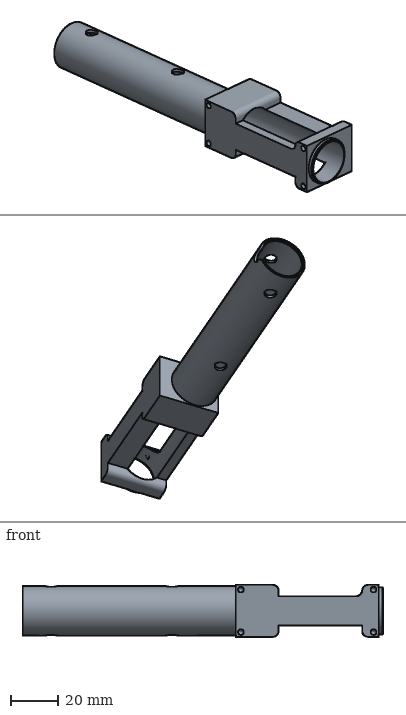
import cadquery as cq

total_length = 152.0
tube_diameter = 21.0
bore_diameter = 18.4
mouth_chamfer = 0.5
axis_y = -2.5

housing_width = 27.0
housing_height = 22.0
housing_start = 89.8
housing_end = 150.0
window_start = 107.9
window_end = 143.0
rail_height = 12.5
corner_radius = 2.6

collar_diameter = 20.0
collar_chamfer = 0.5

pin_hole_diameter = 5.2
pin_hole_positions = (12.0, 63.0)
screw_hole_diameter = 2.5
screw_hole_depth = 6.1
screw_hole_inset = 2.1
screw_hole_z = 9.0

notch_depth = 5.6
notch_width = 5.8
notch_flare_radius = 2.6


def x_cylinder(diameter, start, end):
    """Cylinder on the tube axis between two X positions."""
    return (
        cq.Workplane("YZ", origin=(start, axis_y, 0))
        .circle(diameter / 2)
        .extrude(end - start)
    )


def window_cut(side):
    """Clearance above (side = 1) or below (side = -1) the rails."""
    depth = housing_height / 2 - rail_height / 2
    return cq.Workplane("XY").box(
        window_end - window_start, housing_width, depth, centered=(False, True, True)
    ).translate((window_start, 0, side * (rail_height + depth) / 2))


def make_housing():
    """Housing with two rails, rounded shoulders and one filleted rail end."""
    body = (
        cq.Workplane("XY")
        .box(housing_end - housing_start, housing_width, housing_height, centered=(False, True, True))
        .translate((housing_start, 0, 0))
    )
    for side in (1, -1):
        body = body.cut(window_cut(side))
        for x in (window_start, window_end):
            shoulder = cq.selectors.NearestToPointSelector((x, 0, side * housing_height / 2))
            body = body.edges("|Y").edges(shoulder).fillet(corner_radius)
    return body.union(make_rail_fillet())


def make_rail_fillet():
    """Concave fillet on top of the -Y rail where it meets the far shoulder."""
    rail_top = rail_height / 2
    start = window_end - corner_radius
    fillet_width = housing_width / 2 + axis_y
    bend = corner_radius * 0.5**0.5
    return (
        cq.Workplane("XZ", origin=(0, axis_y, 0))
        .moveTo(start, rail_top)
        .threePointArc(
            (start + bend, rail_top + corner_radius - bend),
            (window_end, rail_top + corner_radius),
        )
        .lineTo(window_end, rail_top)
        .close()
        .extrude(fillet_width)
    )


def make_pin_holes():
    """Holes through both walls of the tube along Z."""
    return (
        cq.Workplane("XY")
        .pushPoints([(x, axis_y) for x in pin_hole_positions])
        .circle(pin_hole_diameter / 2)
        .extrude(tube_diameter, both=True)
    )


def make_screw_holes():
    """Blind holes with 90 degree drill points in the four corners of the -Y face."""
    radius = screw_hole_diameter / 2
    face_y = -housing_width / 2
    columns = (housing_start + screw_hole_inset, housing_end - screw_hole_inset)
    drill = (
        cq.Workplane("XY")
        .polyline([
            (0, face_y),
            (radius, face_y),
            (radius, face_y + screw_hole_depth),
            (0, face_y + screw_hole_depth + radius),
        ])
        .close()
        .revolve(360, (0, 0, 0), (0, 1, 0))
    )
    holes = cq.Workplane("XY")
    for x in columns:
        for z in (screw_hole_z, -screw_hole_z):
            holes = holes.add(drill.translate((x, 0, z)))
    return holes.combine()


def make_notch():
    """Round-ended notch in the +Y wall of the tube mouth, flared by a rounded lip on each side."""
    half_width = notch_width / 2
    mouth_half = half_width + notch_flare_radius
    lip_bend = notch_flare_radius * (1 - 0.5**0.5)
    straight_end = notch_depth - half_width
    return (
        cq.Workplane("XZ", origin=(0, axis_y, 0))
        .moveTo(0, -mouth_half)
        .threePointArc((lip_bend, -half_width - lip_bend), (notch_flare_radius, -half_width))
        .lineTo(straight_end, -half_width)
        .threePointArc((notch_depth, 0), (straight_end, half_width))
        .lineTo(notch_flare_radius, half_width)
        .threePointArc((lip_bend, half_width + lip_bend), (0, mouth_half))
        .close()
        .extrude(-tube_diameter)
    )


def make_bore():
    """Through bore with a chamfer at the tube mouth."""
    bore_radius = bore_diameter / 2
    lead_in = (
        cq.Workplane("YZ", origin=(0, axis_y, 0))
        .circle(bore_radius + mouth_chamfer)
        .workplane(offset=mouth_chamfer)
        .circle(bore_radius)
        .loft(ruled=True)
    )
    return x_cylinder(bore_diameter, 0, total_length).union(lead_in)


tube = x_cylinder(tube_diameter, 0, housing_start)
collar = x_cylinder(collar_diameter, housing_end, total_length).faces(">X").chamfer(collar_chamfer)
result = tube.union(make_housing()).union(collar)
result = result.cut(make_bore())
result = result.cut(make_pin_holes()).cut(make_screw_holes()).cut(make_notch())